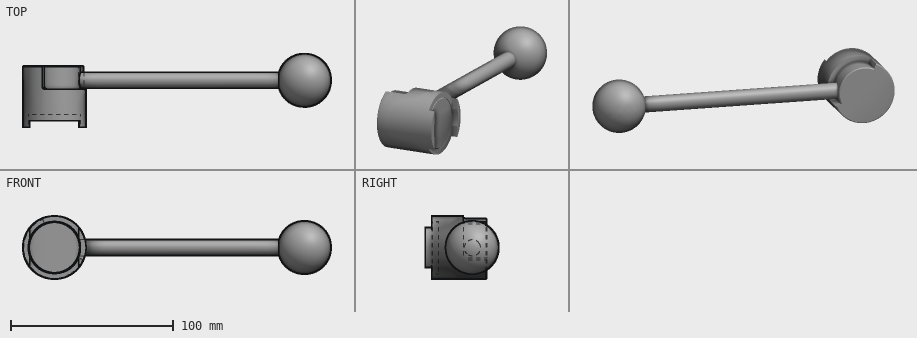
import cadquery as cq
import math

total_x = 189.8
sleeve_diameter = 39.0
bore_diameter = 32.1
core_diameter = 32.0
hub_length = 38.0
end_chamfer = 0.5

lug_height = 4.0
lug_spacing = 30.2
gap_depth = 4.0

window_depth = 14.5
window_centre_angle = 45.0
window_span_angle = 136.0
window_corner_radius = 2.0

rod_diameter = 10.0
rod_to_back = 9.0
ball_diameter = 33.0

ball_x = total_x - sleeve_diameter / 2 - ball_diameter / 2
rod_y = hub_length - rod_to_back


def cylinder_y(diameter, start_y, end_y):
    """Cylinder on the hub axis between two Y positions."""
    plane = cq.Workplane("XZ", origin=(0, start_y, 0))
    return plane.circle(diameter / 2).extrude(start_y - end_y)


def make_sleeve():
    """Outer sleeve with a slot across its front that leaves two lugs."""
    sleeve = cylinder_y(sleeve_diameter, 0, hub_length)
    sleeve = sleeve.faces(">Y").chamfer(end_chamfer)
    sleeve = sleeve.cut(cylinder_y(bore_diameter, 0, lug_height + gap_depth))
    slot = cq.Workplane("XY").box(lug_spacing, 2 * lug_height, sleeve_diameter)
    return sleeve.cut(slot)


def make_window():
    """Sector swept by the rod, open at the back and rounded at its front corners."""
    reach = sleeve_diameter
    start = math.radians(window_centre_angle - window_span_angle / 2)
    middle = math.radians(window_centre_angle)
    end = math.radians(window_centre_angle + window_span_angle / 2)
    sector = (
        cq.Workplane("XZ", origin=(0, hub_length, 0))
        .lineTo(reach * math.cos(start), reach * math.sin(start))
        .threePointArc(
            (reach * math.cos(middle), reach * math.sin(middle)),
            (reach * math.cos(end), reach * math.sin(end)),
        )
        .close()
        .extrude(window_depth)
    )
    side_edges = sector.faces("<Y").edges("%LINE")
    return sector.newObject(side_edges.vals()).fillet(window_corner_radius)


def make_core():
    """Round core, chamfered at both ends, from the slot floor to the back face."""
    core = cylinder_y(core_diameter, lug_height, hub_length)
    return core.faces("<Y or >Y").chamfer(end_chamfer)


def make_handle():
    """Rod from the hub axis to the ball at its far end."""
    rod = cq.Workplane("YZ", origin=(0, rod_y, 0)).circle(rod_diameter / 2).extrude(ball_x)
    ball = cq.Workplane("YZ", origin=(ball_x, rod_y, 0)).sphere(ball_diameter / 2)
    return rod.union(ball)


result = make_sleeve().cut(make_window()).union(make_core()).union(make_handle())